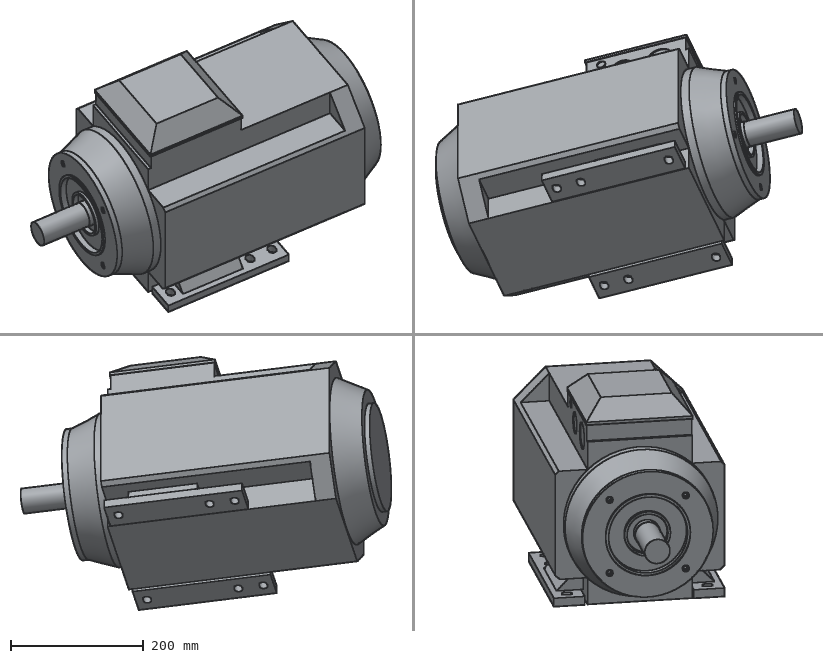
import cadquery as cq
import math


housing_half = 130.0
housing_length = 351.5
flat_half = 80.5
corner_step_length = 320.0
upper_ledge = 86.0
lower_ledge = 87.0

shield_radius = 117.0
shield_rim_length = 13.0
flange_radius = 100.0
flange_rear = -58.0
flange_face = -66.5

pilot_radius = 65.0
pilot_bore_radius = 60.5
pilot_height = 3.0
pilot_bore_depth = 10.0
hub_radius = 35.0
hub_bore_radius = 31.5
hub_height = 5.0
hub_bore_depth = 8.0

flange_hole_circle_radius = 82.5
flange_hole_radius = 3.5
flange_hole_mouth_radius = 5.0
flange_hole_mouth_depth = 2.0
flange_hole_depth = 8.0
flange_hole_point_angle = 118

shaft_radius = 19.0
shaft_collar_radius = 20.0
shaft_length = 80.0

cowl_front_radius = 127.0
cowl_rear_radius = 103.5
cowl_rear = 396.0
cap_radius = 82.5
cap_thickness = 7.5

box_front = 5.0
box_rear = 164.0
box_top = 155.0
lid_overhang = 1.5
lid_side_overhang = 1.0
lid_rim_height = 5.0
lid_top = 189.0
lid_slope_run = 27.0

cable_recesses = [
    (140.0, 143.5, 6.5),
    (106.0, 124.0, 16.5),
    (47.0, 124.0, 20.5),
]
cable_recess_depth = 1.5

foot_inner = 83.5
foot_outer = 131.0
foot_bottom = -132.0
foot_thickness = 14.0
foot_front = 5.0
foot_rear = 217.0
foot_slot_x = 108.0
foot_slot_y = [22.5, 163.0, 201.5]
foot_slot_width = 12.0
foot_slot_length = 16.0

web_front = 37.0
web_rear = 142.5
web_top_width = 103.5
web_bottom_width = 121.0
web_bend = -100.0

overlap = 3.0


def block(x_range, y_range, z_range):
    """Axis-aligned block between the given limits."""
    (x0, x1), (y0, y1), (z0, z1) = x_range, y_range, z_range
    return cq.Workplane("XY").box(x1 - x0, y1 - y0, z1 - z0, centered=False).translate((x0, y0, z0))


def revolved(profile):
    """Solid of revolution about the Y axis from (radius, Y) points."""
    return cq.Workplane("XY").polyline(profile).close().revolve(360, (0, 0, 0), (0, 1, 0))


def make_housing():
    side = 2 * housing_half
    prism = cq.Workplane("XZ").rect(side, side).extrude(-housing_length)
    prism = prism.edges("|Y").chamfer(housing_half - flat_half)
    for z_range in ((upper_ledge, housing_half), (-housing_half, -lower_ledge)):
        for x_range in ((flat_half, housing_half), (-housing_half, -flat_half)):
            prism = prism.cut(block(x_range, (0, corner_step_length), z_range))
    return prism


def make_front_end():
    """End shield, centring ring, bearing hub and shaft as one turned profile."""
    pilot_face = flange_face - pilot_height
    recess_floor = pilot_face + pilot_bore_depth
    hub_face = recess_floor - hub_height
    bore_floor = hub_face + hub_bore_depth
    return revolved([
        (0, overlap),
        (shield_radius, overlap),
        (shield_radius, -shield_rim_length),
        (flange_radius, flange_rear),
        (flange_radius, flange_face),
        (pilot_radius, flange_face),
        (pilot_radius, pilot_face),
        (pilot_bore_radius, pilot_face),
        (pilot_bore_radius, recess_floor),
        (hub_radius, recess_floor),
        (hub_radius, hub_face),
        (hub_bore_radius, hub_face),
        (hub_bore_radius, bore_floor),
        (shaft_collar_radius, bore_floor),
        (shaft_collar_radius, flange_face),
        (shaft_radius, flange_face),
        (shaft_radius, flange_face - shaft_length),
        (0, flange_face - shaft_length),
    ])


def make_flange_holes():
    point_depth = flange_hole_radius / math.tan(math.radians(flange_hole_point_angle / 2))
    hole = revolved([
        (0, flange_face),
        (flange_hole_mouth_radius, flange_face),
        (flange_hole_mouth_radius, flange_face + flange_hole_mouth_depth),
        (flange_hole_radius, flange_face + flange_hole_mouth_depth),
        (flange_hole_radius, flange_face + flange_hole_depth),
        (0, flange_face + flange_hole_depth + point_depth),
    ])
    offset = flange_hole_circle_radius * math.sqrt(0.5)
    holes = cq.Workplane("XY")
    for x in (-offset, offset):
        for z in (-offset, offset):
            holes = holes.add(hole.translate((x, 0, z)))
    return holes.combine()


def make_rear_cowl():
    return revolved([
        (0, housing_length - overlap),
        (cowl_front_radius, housing_length - overlap),
        (cowl_front_radius, housing_length),
        (cowl_rear_radius, cowl_rear),
        (cap_radius, cowl_rear),
        (cap_radius, cowl_rear + cap_thickness),
        (0, cowl_rear + cap_thickness),
    ])


def make_terminal_box():
    lid_half_width = flat_half + lid_side_overhang
    lid_front = box_front - lid_overhang
    lid_rear = box_rear + lid_overhang
    rim_top = box_top + lid_rim_height
    base = block((-flat_half, flat_half), (box_front, box_rear), (housing_half - overlap, box_top))
    rim = block((-lid_half_width, lid_half_width), (lid_front, lid_rear), (box_top, rim_top))

    lid_width = 2 * lid_half_width
    lid_length = lid_rear - lid_front
    cover = (
        cq.Workplane("XY", origin=(0, (lid_front + lid_rear) / 2, rim_top))
        .rect(lid_width, lid_length)
        .workplane(offset=lid_top - rim_top)
        .rect(lid_width - 2 * lid_slope_run, lid_length - 2 * lid_slope_run)
        .loft(ruled=True)
    )
    return base.union(rim).union(cover)


def make_cable_recesses():
    recesses = cq.Workplane("YZ")
    for y, z, radius in cable_recesses:
        disc = cq.Workplane("YZ", origin=(-flat_half, y, z)).circle(radius).extrude(cable_recess_depth)
        recesses = recesses.add(disc)
    return recesses.combine()


def make_foot():
    """Foot plate and web on the +X side."""
    foot_top = foot_bottom + foot_thickness
    web_root = flat_half - overlap
    plate = block((foot_inner, foot_outer), (foot_front, foot_rear), (foot_bottom, foot_top))
    for y in foot_slot_y:
        slot = cq.Workplane("XY", origin=(foot_slot_x, y, foot_bottom))
        slot = slot.slot2D(foot_slot_length, foot_slot_width).extrude(foot_thickness)
        plate = plate.cut(slot)
    web = (
        cq.Workplane("XZ", origin=(0, web_front, 0))
        .polyline([
            (web_root, -lower_ledge + overlap),
            (web_top_width, -lower_ledge + overlap),
            (web_top_width, web_bend),
            (web_bottom_width, foot_top),
            (web_root, foot_top),
        ])
        .close()
        .extrude(web_front - web_rear)
    )
    return plate.union(web)


foot = make_foot()
result = (
    make_housing()
    .union(make_front_end())
    .union(make_rear_cowl())
    .union(make_terminal_box())
    .union(foot)
    .union(foot.mirror("YZ"))
    .cut(make_flange_holes())
    .cut(make_cable_recesses())
)